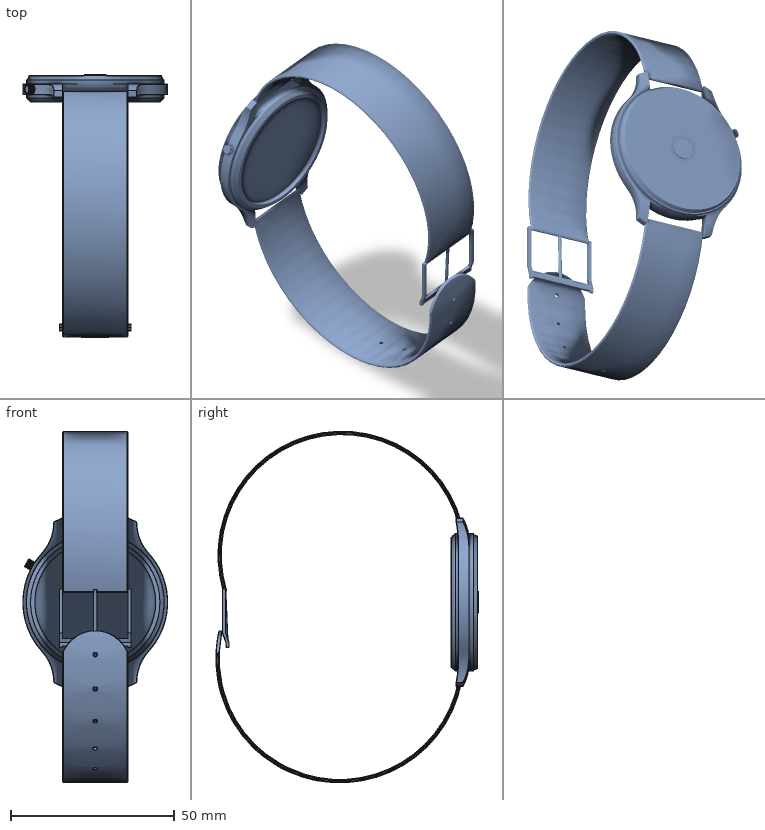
import cadquery as cq
import math


case_thickness = 8.1
case_radius = 21.1
crystal_base_radius = 20.8
crystal_top_radius = 20.2
crystal_height = 1.3
back_chamfer = 1.3
back_recess_diameter = 37.0
back_recess_depth = 1.4
back_centre_hole_diameter = 0.26
back_centre_hole_depth = 0.1
dial_boss_diameter = 6.7
dial_boss_height = 0.3

band_radius = 22.2
band_top = -2.6
band_bottom = -5.8
lug_tip_radius = 27.7
lug_top_drop = 1.9
lug_bottom_drop = 0.8
lug_tip_half_width = 12.7
lug_tip_z = 24.5
lug_root_angle = 42.3
lug_gap_floor = 20.9
lug_gap_floor_radius = 29.1

crown_diameter = 2.7
crown_reach = 24.2
crown_angle = 150
crown_groove_count = 18
crown_groove_diameter = 0.26

strap_width = 20.0
strap_thickness = 1.0
strap_edge_chamfer = 0.3
strap_radius = 37.5
strap_inner_radius = strap_radius - strap_thickness / 2
strap_outer_radius = strap_radius + strap_thickness / 2
upper_centre = (-41.6, 14.4)
lower_centre = (-42.2, -17.3)
strap_lug_z = 23.9
upper_end_z = 3.1
strap_tip_z = -8.7
strap_tip_length = 7.0
hole_diameter = 1.3
hole_count = 6
hole_pitch_angle = 16.1
first_hole_angle = -2.0

bar_size = 1.0
bar_front_y = -78.2
bar_top_z = 4.1
bar_bottom_z = -13.9
bend_start_z = -9.5
bend_end_z = -12.4
bend_offset = 1.1
cross_bar_top_z = -11.1
cross_bar_bottom_z = -13.3
prong_diameter = 1.0
prong_top = (-77.6, 4.0)
prong_bottom = (-77.0, -11.4)


def revolved_about_y(profile):
    return profile.close().revolve(360, (0, 0, 0), (0, 1, 0))


def along_y(profile, y_start, y_end):
    """Extrude a wire drawn on an XZ workplane at Y = y_start up to y_end."""
    return profile.extrude(y_start - y_end)


def disc(diameter, y_start, y_end):
    return along_y(cq.Workplane("XZ", origin=(0, y_start, 0)).circle(diameter / 2), y_start, y_end)


def tangent_arc_middle(start, end, tangent):
    """Middle point of the arc from start to end that leaves start along the unit vector tangent."""
    chord = (end[0] - start[0], end[1] - start[1])
    length = math.hypot(*chord)
    turn = math.atan2(chord[1], chord[0]) - math.atan2(tangent[1], tangent[0])
    sag = length / 2 * math.tan(turn / 2)
    return (
        (start[0] + end[0]) / 2 + sag * chord[1] / length,
        (start[1] + end[1]) / 2 - sag * chord[0] / length,
    )


def lug_disc():
    """Disc whose rim curves toward the wrist, before it is cut to the lug outline."""
    tip_top = band_top - lug_top_drop
    tip_bottom = band_bottom - lug_bottom_drop
    top_middle = tangent_arc_middle((case_radius, band_top), (lug_tip_radius, tip_top), (1, 0))
    return revolved_about_y(
        cq.Workplane("XY")
        .moveTo(0, band_bottom)
        .lineTo(case_radius, band_bottom)
        .tangentArcPoint((lug_tip_radius, tip_bottom), relative=False)
        .lineTo(lug_tip_radius, tip_top)
        .threePointArc(top_middle, (case_radius, band_top))
        .lineTo(0, band_top)
    )


def lug_pair_outline(side):
    """Prism around both lugs on one Z side (+1 or -1), with concave flanks tangent to the band."""
    root_angle = math.radians(lug_root_angle)
    root = (band_radius * math.cos(root_angle), band_radius * math.sin(root_angle))
    tip = (lug_tip_half_width, lug_tip_z)
    flank_middle = tangent_arc_middle(root, tip, (-math.sin(root_angle), math.cos(root_angle)))
    outline = (
        cq.Workplane("XZ")
        .moveTo(0, 0)
        .lineTo(root[0], side * root[1])
        .threePointArc((flank_middle[0], side * flank_middle[1]), (tip[0], side * tip[1]))
        .lineTo(tip[0], side * lug_tip_radius)
        .lineTo(-tip[0], side * lug_tip_radius)
        .lineTo(-tip[0], side * tip[1])
        .threePointArc((-flank_middle[0], side * flank_middle[1]), (-root[0], side * root[1]))
        .close()
    )
    return along_y(outline, 0, -case_thickness)


def lug_gap(side):
    """Space between two lugs on one Z side (+1 or -1), down to a shallow curved floor."""
    slot = cq.Workplane("XY").box(strap_width, 4 * case_thickness, 2 * lug_tip_radius)
    slot = slot.translate((0, 0, side * lug_tip_radius))
    floor_centre = side * (lug_gap_floor - lug_gap_floor_radius)
    floor_roll = disc(2 * lug_gap_floor_radius, 2 * case_thickness, -2 * case_thickness)
    return slot.cut(floor_roll.translate((0, 0, floor_centre)))


def make_band():
    """Round band with two lugs at the top and two at the bottom."""
    outline = disc(2 * band_radius, 0, -case_thickness)
    for side in (1, -1):
        outline = outline.union(lug_pair_outline(side))
    band = lug_disc().intersect(outline)
    for side in (1, -1):
        band = band.cut(lug_gap(side))
    return band


def make_shell():
    """Round case shell with the tapered crystal rim on the dial side and the chamfered back."""
    shell = revolved_about_y(
        cq.Workplane("XY")
        .moveTo(0, 0)
        .lineTo(crystal_top_radius, 0)
        .lineTo(crystal_base_radius, -crystal_height)
        .lineTo(case_radius, -crystal_height)
        .lineTo(case_radius, back_chamfer - case_thickness)
        .lineTo(case_radius - back_chamfer, -case_thickness)
        .lineTo(0, -case_thickness)
    )
    return shell.union(disc(dial_boss_diameter, dial_boss_height, 0))


def make_crown():
    """Knurled crown on a radial axis; its inner end lies inside the case."""
    angle = math.radians(crown_angle)
    outward = cq.Vector(math.cos(angle), 0, math.sin(angle))
    start = outward * case_radius + cq.Vector(0, (band_top + band_bottom) / 2, 0)
    base = cq.Workplane(cq.Plane(origin=start.toTuple(), xDir=(0, 1, 0), normal=outward.toTuple()))
    length = crown_reach - case_radius
    crown = base.circle(crown_diameter / 2).extrude(length)
    grooves = (
        base.polarArray(crown_diameter / 2, 0, 360, crown_groove_count)
        .circle(crown_groove_diameter / 2)
        .extrude(length)
    )
    return crown.cut(grooves)


def make_case():
    floor_y = back_recess_depth - case_thickness
    case = make_shell().union(make_band()).union(make_crown())
    case = case.cut(disc(back_recess_diameter, floor_y, -case_thickness))
    return case.cut(disc(back_centre_hole_diameter, floor_y + back_centre_hole_depth, floor_y))


def arc_point(centre, radius, angle):
    """Y, Z of a point on a strap arc; the angle runs from +Y toward +Z, in radians."""
    return (centre[0] + radius * math.cos(angle), centre[1] + radius * math.sin(angle))


def strap_arc(centre, start_angle, end_angle):
    """Strap band along a circular arc in the YZ plane, with chamfered edges."""
    middle_angle = (start_angle + end_angle) / 2
    band = (
        cq.Workplane("YZ")
        .moveTo(*arc_point(centre, strap_inner_radius, start_angle))
        .threePointArc(
            arc_point(centre, strap_inner_radius, middle_angle),
            arc_point(centre, strap_inner_radius, end_angle),
        )
        .lineTo(*arc_point(centre, strap_outer_radius, end_angle))
        .threePointArc(
            arc_point(centre, strap_outer_radius, middle_angle),
            arc_point(centre, strap_outer_radius, start_angle),
        )
        .close()
        .extrude(strap_width / 2, both=True)
    )
    return band.edges().chamfer(strap_edge_chamfer)


def angle_at_z(centre, z):
    """Angle of the strap arc's point at height z on the case side."""
    return math.asin((z - centre[1]) / strap_radius)


def make_upper_strap(buckle):
    start = angle_at_z(upper_centre, strap_lug_z)
    end = math.pi - angle_at_z(upper_centre, upper_end_z)
    return strap_arc(upper_centre, start, end).cut(buckle)


def tip_cutter():
    """Everything around the rounded free end of the lower strap."""
    shoulder_z = strap_tip_z - strap_tip_length
    half_width = strap_width / 2
    clear_z = strap_tip_z + strap_tip_length
    outline = (
        cq.Workplane("XZ", origin=(0, lower_centre[0], 0))
        .moveTo(-half_width, shoulder_z)
        .threePointArc((0, strap_tip_z), (half_width, shoulder_z))
        .lineTo(strap_width, shoulder_z)
        .lineTo(strap_width, clear_z)
        .lineTo(-strap_width, clear_z)
        .lineTo(-strap_width, shoulder_z)
        .close()
    )
    return along_y(outline, 0, -2 * strap_radius)


def make_lower_strap():
    start = angle_at_z(lower_centre, -strap_lug_z)
    end = -math.pi - angle_at_z(lower_centre, strap_tip_z + strap_thickness)
    strap = strap_arc(lower_centre, start, end).cut(tip_cutter())
    for index in range(hole_count):
        angle = math.pi + math.radians(first_hole_angle + index * hole_pitch_angle)
        outward = (0, math.cos(angle), math.sin(angle))
        plane = cq.Plane(origin=(0, *lower_centre), xDir=(1, 0, 0), normal=outward)
        hole = cq.Workplane(plane).circle(hole_diameter / 2).extrude(strap_radius + strap_thickness)
        strap = strap.cut(hole)
    return strap


def buckle_strip(half_width):
    """Double-bent strip with a rounded lower end, reaching half_width to both sides of X = 0."""
    top_back_y = bar_front_y + bar_size
    lip_front_y = bar_front_y + bend_offset
    lip_back_y = lip_front_y + bar_size
    round_z = bar_bottom_z + bar_size / 2
    return (
        cq.Workplane("YZ")
        .moveTo(bar_front_y, bar_top_z)
        .lineTo(bar_front_y, bend_start_z)
        .lineTo(lip_front_y, bend_end_z)
        .lineTo(lip_front_y, round_z)
        .threePointArc((lip_front_y + bar_size / 2, bar_bottom_z), (lip_back_y, round_z))
        .lineTo(lip_back_y, bend_end_z)
        .lineTo(top_back_y, bend_start_z)
        .lineTo(top_back_y, bar_top_z)
        .close()
        .extrude(half_width, both=True)
    )


def make_buckle():
    """Two side bars beside the strap, one cross bar at the lip and a round prong."""
    strip = buckle_strip(strap_width / 2 + bar_size)
    open_middle = buckle_strip(strap_width / 2)
    cross_zone = cq.Workplane("XY", origin=(0, bar_front_y, cross_bar_bottom_z)).box(
        strap_width, 4 * bend_offset, cross_bar_top_z - cross_bar_bottom_z, centered=(True, True, False)
    )
    prong_direction = (0, prong_bottom[0] - prong_top[0], prong_bottom[1] - prong_top[1])
    prong_plane = cq.Plane(origin=(0, *prong_top), xDir=(1, 0, 0), normal=prong_direction)
    prong = cq.Workplane(prong_plane).circle(prong_diameter / 2).extrude(math.hypot(*prong_direction))
    return strip.cut(open_middle).union(open_middle.intersect(cross_zone)).union(prong)


case = make_case()
buckle = make_buckle()
upper_strap = make_upper_strap(buckle)
lower_strap = make_lower_strap()

bodies = (case, upper_strap, lower_strap, buckle)
result = cq.Compound.makeCompound([body.solids().val() for body in bodies])